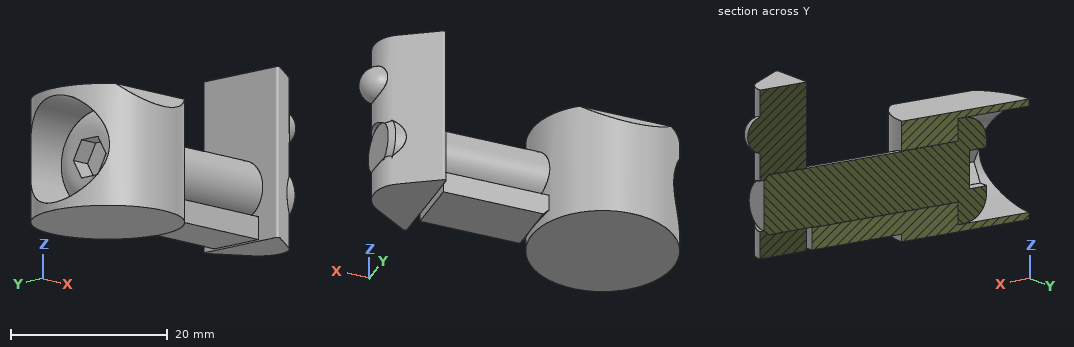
import cadquery as cq
import math


housing_diameter = 19.7
housing_height = 16.0
housing_radius = housing_diameter / 2
housing_bottom = -housing_height / 2
top_flat_width = 15.0
housing_bevel = (housing_diameter - top_flat_width) / 2

shank_diameter = 8.0
shank_length = 30.0
thread_core_diameter = 6.65
tip_chamfer = 0.75
head_diameter = 14.0
head_height = 4.4
head_flat_diameter = 7.2
head_rounding = (head_diameter - head_flat_diameter) / 2
socket_sides = 6
socket_across_flats = 5.0
socket_depth = 2.6
head_seat_x = 1.1
head_top_x = head_seat_x - head_height
screw_tip_x = head_seat_x + shank_length

key_width = 7.8
key_end_x = 23.7
key_top = -shank_diameter / 2
key_bottom = -7.0

nut_back_x = 24.4
nut_depth = 7.3
nut_back_width = 13.8
nut_height = 22.4
nut_bottom = key_bottom
nut_half_angle = math.radians(33)
nut_corner_radius = 0.33
nut_nose_x = nut_back_x + nut_depth
ball_radius = 2.5
ball_center_z = 9.4
ball_tip_x = 33.58
ball_center_x = ball_tip_x - ball_radius


def x_cylinder(diameter, start_x, end_x):
    """Cylinder on the screw axis between two X positions."""
    return cq.Workplane("YZ", origin=(start_x, 0, 0)).circle(diameter / 2).extrude(end_x - start_x)


def make_key():
    slope_height = key_top - key_bottom
    return (
        cq.Workplane("XZ", origin=(0, key_width / 2, 0))
        .moveTo(housing_radius, key_bottom)
        .lineTo(key_end_x, key_bottom)
        .lineTo(key_end_x, key_top)
        .lineTo(housing_radius - slope_height, key_top)
        .close()
        .extrude(key_width)
    )


def make_housing():
    cylinder = cq.Workplane("XY", origin=(0, 0, housing_bottom)).circle(housing_radius).extrude(housing_height)
    beveled_block = (
        cq.Workplane("XY", origin=(0, 0, housing_bottom))
        .rect(housing_diameter, housing_diameter)
        .extrude(housing_height)
        .faces(">Z")
        .edges("|X")
        .chamfer(housing_bevel)
    )
    head_bore = x_cylinder(head_diameter, -housing_radius, head_seat_x)
    shank_hole = x_cylinder(shank_diameter, head_seat_x, key_end_x)
    return cylinder.intersect(beveled_block).union(make_key()).cut(head_bore).cut(shank_hole)


def make_screw():
    head = x_cylinder(head_diameter, head_top_x, head_seat_x).faces("<X").edges().fillet(head_rounding)
    tip_inset = (shank_diameter - thread_core_diameter) / 2
    shank = x_cylinder(shank_diameter, head_seat_x, screw_tip_x).faces(">X").chamfer(tip_chamfer, tip_inset)
    socket = (
        cq.Workplane("YZ", origin=(head_top_x, 0, 0))
        .transformed(rotate=(0, 0, 180 / socket_sides))
        .polygon(socket_sides, socket_across_flats, circumscribed=True)
        .extrude(socket_depth)
    )
    return head.union(shank).cut(socket)


def make_nut(screw):
    apex_x = nut_back_x + nut_back_width / 2 / math.tan(nut_half_angle)
    nose_radius = (apex_x - nut_nose_x) / (1 / math.sin(nut_half_angle) - 1)
    bar = (
        cq.Workplane("XY", origin=(0, 0, nut_bottom))
        .moveTo(nut_back_x, -nut_back_width / 2)
        .lineTo(apex_x, 0)
        .lineTo(nut_back_x, nut_back_width / 2)
        .close()
        .extrude(nut_height)
    )
    bar = bar.edges("|Z").edges(">X").fillet(nose_radius)
    bar = bar.edges("|Z").edges("<X").fillet(nut_corner_radius)
    ball = cq.Workplane("XY", origin=(ball_center_x, 0, ball_center_z)).sphere(ball_radius)
    ball_stem = (
        cq.Workplane("YZ", origin=(ball_center_x, 0, ball_center_z))
        .circle(ball_radius)
        .extrude(-ball_radius)
    )
    thread_hole = x_cylinder(thread_core_diameter, nut_back_x, nut_nose_x)
    return bar.union(ball_stem).union(ball).cut(thread_hole).cut(screw)


housing = make_housing()
screw = make_screw()
nut = make_nut(screw)

result = cq.Compound.makeCompound([housing.val(), screw.val(), nut.val()])